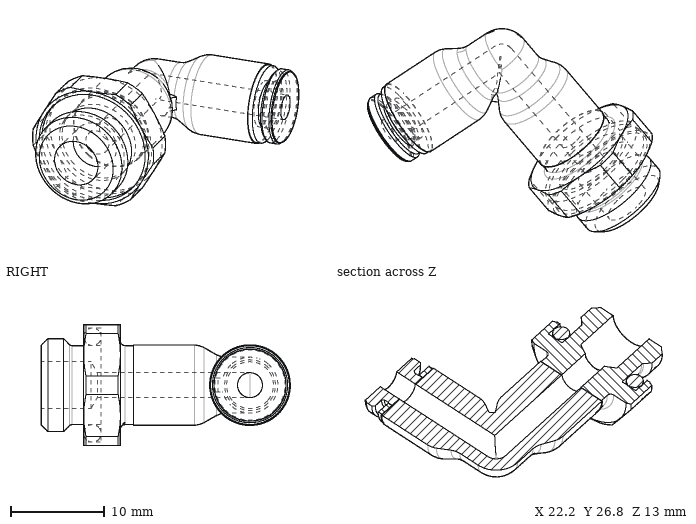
import cadquery as cq
import math


elbow_radius = 3.0
sleeve_radius = 4.35
branch_length = 12.53
flare_start = 3.1
flare_angle = 30
flare_blend = 2.0
web_thickness = 1.5
web_reach = 3.67
bore_radius = 1.35

neck_radius = 4.25
hex_start = 13.92
hex_end = 17.85
hex_flats = 13.0
hex_corner_radius = 7.01
hex_chamfer = 0.25
hex_root_fillet = 0.48
thread_radius = 5.0
thread_start = 20.02
thread_chamfer = 0.72
stem_end = 22.43
undercut_fillet = 0.32
socket_radius = 2.52
socket_depth = 5.35
socket_cone_angle = 60

seal_outer_radius = 6.13
seal_section_radius = (seal_outer_radius - neck_radius) / 2
seal_center_radius = (seal_outer_radius + neck_radius) / 2

collar_radius = 4.23
collar_end = 13.05
button_neck_radius = 2.52
button_radius = 4.05
button_cone_start = 13.6
button_cone = 0.21
button_back = button_cone_start + button_cone
button_back_chamfer = 0.27
button_front = 15.05
button_front_chamfer = 0.15
button_rim_radius = 3.85
button_rim_end = 15.18


def turned(profile):
    """Solid of revolution about the X axis from (axial, radius) points."""
    return cq.Workplane("XY").polyline(profile).close().revolve(360, (0, 0, 0), (1, 0, 0))


def ring(start, end, outer, inner):
    return turned([(start, inner), (end, inner), (end, outer), (start, outer)])


def rod(start, end, radius):
    return ring(start, end, radius, 0)


def along_stem(body):
    """Turn a body built along +X so that it lies along -Y."""
    return body.rotate((0, 0, 0), (0, 0, 1), -90)


def circles_at(axial):
    """Selector for the circular edges centred at a distance along the X axis."""
    margin = 0.013
    return cq.selectors.BoxSelector((axial - margin, -margin, -margin), (axial + margin, margin, margin))


def make_branch():
    flare_end = flare_start + (sleeve_radius - elbow_radius) / math.tan(math.radians(flare_angle))
    branch = turned([
        (0, 0),
        (0, elbow_radius),
        (flare_start, elbow_radius),
        (flare_end, sleeve_radius),
        (branch_length, sleeve_radius),
        (branch_length, 0),
    ])
    branch = branch.edges(circles_at(flare_start)).fillet(flare_blend)
    return branch.edges(circles_at(flare_end)).fillet(flare_blend)


def make_web():
    """Thin triangular web in the inner corner between the branches."""
    reach = 2 * web_reach
    web = cq.Workplane("XY").polyline([(0, 0), (reach, 0), (0, -reach)]).close()
    return web.extrude(web_thickness / 2, both=True)


def make_elbow():
    elbow = make_branch().union(along_stem(make_branch()))
    elbow = elbow.union(cq.Workplane("XY").sphere(elbow_radius)).union(make_web())
    bore = rod(0, branch_length, bore_radius)
    bore = bore.union(along_stem(bore)).union(cq.Workplane("XY").sphere(bore_radius))
    return elbow.cut(bore)


def make_hexagon():
    """Hexagon with flats facing +Z and -Z, its corners turned down and chamfered."""
    hex_turn = 30
    hexagon = (
        cq.Workplane("YZ", origin=(hex_start, 0, 0))
        .polygon(6, hex_flats, circumscribed=True)
        .extrude(hex_end - hex_start)
        .rotate((0, 0, 0), (1, 0, 0), hex_turn)
    )
    flat_radius = hex_flats / 2
    blank = turned([
        (hex_start, 0),
        (hex_start, flat_radius),
        (hex_start + hex_chamfer, hex_corner_radius),
        (hex_end - hex_chamfer, hex_corner_radius),
        (hex_end, flat_radius),
        (hex_end, 0),
    ])
    return hexagon.intersect(blank)


def make_stem():
    undercut_end = thread_start - (thread_radius - neck_radius)
    shank = turned([
        (branch_length, 0),
        (branch_length, neck_radius),
        (undercut_end, neck_radius),
        (thread_start, thread_radius),
        (stem_end - thread_chamfer, thread_radius),
        (stem_end, thread_radius - thread_chamfer),
        (stem_end, 0),
    ])
    shank = shank.edges(circles_at(undercut_end)).fillet(undercut_fillet)

    root = ring(hex_start - hex_root_fillet, hex_start, neck_radius + hex_root_fillet, neck_radius)
    root_round = cq.Workplane("XY").add(cq.Solid.makeTorus(
        neck_radius + hex_root_fillet,
        hex_root_fillet,
        cq.Vector(hex_start - hex_root_fillet, 0, 0),
        cq.Vector(1, 0, 0),
    ))
    stem = shank.union(make_hexagon()).union(root.cut(root_round))

    seal_groove = ring(hex_end - 2 * seal_section_radius, hex_end, seal_outer_radius, neck_radius)
    socket_bottom = stem_end - socket_depth
    cone_height = (socket_radius - bore_radius) / math.tan(math.radians(socket_cone_angle))
    passage = turned([
        (branch_length, 0),
        (branch_length, bore_radius),
        (socket_bottom - cone_height, bore_radius),
        (socket_bottom, socket_radius),
        (stem_end, socket_radius),
        (stem_end, 0),
    ])
    return along_stem(stem.cut(seal_groove).cut(passage))


def make_seal():
    center = cq.Vector(hex_end - seal_section_radius, 0, 0)
    torus = cq.Solid.makeTorus(seal_center_radius, seal_section_radius, center, cq.Vector(1, 0, 0))
    return along_stem(cq.Workplane("XY").add(torus))


def make_collar():
    return ring(branch_length, collar_end, collar_radius, button_neck_radius)


def make_button():
    return turned([
        (branch_length, bore_radius),
        (branch_length, button_neck_radius),
        (button_cone_start, button_neck_radius),
        (button_back, button_neck_radius + button_cone),
        (button_back, button_radius - button_back_chamfer),
        (button_back + button_back_chamfer, button_radius),
        (button_front - button_front_chamfer, button_radius),
        (button_front, button_radius - button_front_chamfer),
        (button_front, button_rim_radius),
        (button_rim_end, button_rim_radius),
        (button_rim_end, bore_radius),
    ])


elbow = make_elbow()
stem = make_stem()
seal = make_seal()
collar = make_collar()
button = make_button()

result = cq.Compound.makeCompound([
    elbow.solids().val(),
    stem.solids().val(),
    seal.val(),
    collar.val(),
    button.val(),
])